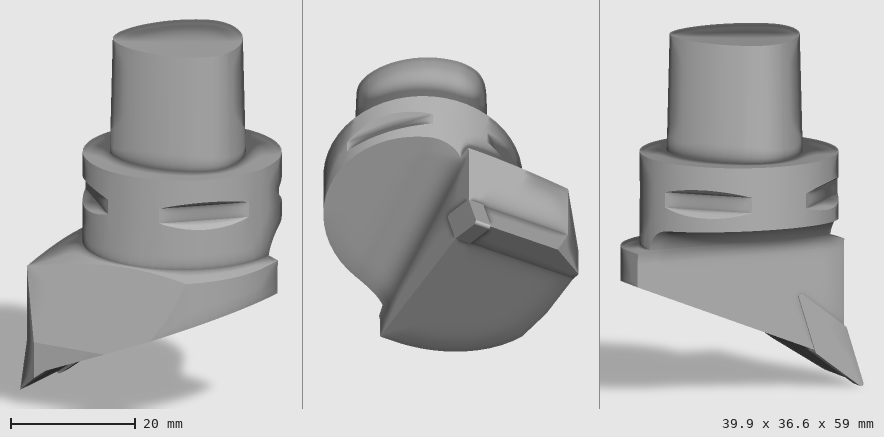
import cadquery as cq
import math


FLANGE_DIAMETER = 32.0
FLANGE_LENGTH = 15.0
FLANGE_RADIUS = FLANGE_DIAMETER / 2
TAPER_LENGTH = 19.0
TAPER_RATIO = 20
TAPER_MEAN_RADIUS = 10.9
LOBE_HEIGHT = 0.7
LOBE_COUNT = 3
LOBE_HALF_ANGLE = 24
STEPS_PER_STRETCH = 6

GROOVE_COUNT = 4
GROOVE_DEPTH = 1.8
GROOVE_FLOOR_HEIGHT = 2.5
GROOVE_CENTRE_Z = -6.1
GROOVE_SIDE_ANGLE = 30

FACE_Y = -0.1
UNDERCUT_BACK_Z = -10.2
UNDERCUT_SLOPE = 5
UNDERCUT_RADIUS = 5.9

SHOULDER_SLOPE = 15
HEAD_LEFT = -18.65
HEAD_RIGHT = 17.9
HEAD_FRONT = -20.6
CHAMFER_X = -15.45
SLOPE_TOP_Z = -17.5
SLOPE_TOP_Y = -17.35
SLOPE_BOTTOM_Z = -29.0
NECK_Z = -29.95
TIP_X = -21.75
TIP_Z = -39.65
HEEL_X = -13.3
HEEL_Z = -33.45
RIGHT_WALL_END_Z = -20.95
OVERRUN = 59

INSERT_SIDE = 11.1
INSERT_ANGLE = 35
INSERT_EDGE_ANGLE = 37.2
INSERT_TOP_Y = 0.1
INSERT_THICKNESS = 2.55
NOSE_RADIUS = 0.4
NOSE_CENTRE_X = -21.6
NOSE_CENTRE_Z = -39.6


def lobed_point(normal_angle, mean_radius):
    """Point and tangent on a constant-width curve, by its normal direction."""
    phase = LOBE_COUNT * (normal_angle - math.pi / 2)
    support = mean_radius + LOBE_HEIGHT * math.cos(phase)
    slope = -LOBE_COUNT * LOBE_HEIGHT * math.sin(phase)
    c = math.cos(normal_angle)
    s = math.sin(normal_angle)
    point = (support * c - slope * s, support * s + slope * c)
    return point, (-s, c)


def lobed_wire(mean_radius, z):
    """Closed outline of alternating lobe and flank stretches."""
    edges = []
    pitch = 360 / LOBE_COUNT
    for lobe in range(LOBE_COUNT):
        centre = 90 + lobe * pitch
        joints = [centre - LOBE_HALF_ANGLE, centre + LOBE_HALF_ANGLE, centre + pitch - LOBE_HALF_ANGLE]
        for start, end in zip(joints, joints[1:]):
            points = []
            tangents = []
            for step in range(STEPS_PER_STRETCH + 1):
                angle = math.radians(start + (end - start) * step / STEPS_PER_STRETCH)
                (x, y), (tx, ty) = lobed_point(angle, mean_radius)
                points.append(cq.Vector(x, y, z))
                tangents.append(cq.Vector(tx, ty, 0))
            edges.append(cq.Edge.makeSpline(points, [tangents[0], tangents[-1]]))
    return cq.Wire.assembleEdges(edges)


def make_taper():
    top_radius = TAPER_MEAN_RADIUS - TAPER_LENGTH / TAPER_RATIO / 2
    base = lobed_wire(TAPER_MEAN_RADIUS, 0)
    top = lobed_wire(top_radius, TAPER_LENGTH)
    return cq.Workplane(obj=cq.Solid.makeLoft([base, top], True))


def make_groove(direction):
    """Straight groove with sloping sides, its floor facing the given direction."""
    floor_x = FLANGE_RADIUS - GROOVE_DEPTH
    reach = 2 * GROOVE_DEPTH
    floor_half = GROOVE_FLOOR_HEIGHT / 2
    mouth_half = floor_half + reach * math.tan(math.radians(GROOVE_SIDE_ANGLE))
    return (
        cq.Workplane("XZ", origin=(0, 0, GROOVE_CENTRE_Z))
        .moveTo(floor_x, -floor_half)
        .lineTo(floor_x, floor_half)
        .lineTo(floor_x + reach, mouth_half)
        .lineTo(floor_x + reach, -mouth_half)
        .close()
        .extrude(FLANGE_RADIUS, both=True)
        .rotate((0, 0, 0), (0, 0, 1), direction)
    )


def make_undercut():
    """Space behind the cutting face, with a sloping roof and rounded inner corner."""
    slope = math.tan(math.radians(UNDERCUT_SLOPE))
    corner_z = UNDERCUT_BACK_Z - (FLANGE_RADIUS - FACE_Y) * slope
    outer_z = corner_z + (OVERRUN - FACE_Y) * slope
    return (
        cq.Workplane("YZ")
        .moveTo(FACE_Y, corner_z)
        .lineTo(OVERRUN, outer_z)
        .lineTo(OVERRUN, -OVERRUN)
        .lineTo(FACE_Y, -OVERRUN)
        .close()
        .extrude(OVERRUN, both=True)
        .edges(cq.selectors.NearestToPointSelector((0, FACE_Y, corner_z)))
        .fillet(UNDERCUT_RADIUS)
    )


def make_coupling():
    flange = cq.Workplane("XY").circle(FLANGE_RADIUS).extrude(-FLANGE_LENGTH)
    for index in range(GROOVE_COUNT):
        flange = flange.cut(make_groove(45 + index * 360 / GROOVE_COUNT))
    return flange.cut(make_undercut()).union(make_taper())


def make_insert():
    bisector = math.radians(INSERT_EDGE_ANGLE + INSERT_ANGLE / 2)
    setback = NOSE_RADIUS / math.sin(math.radians(INSERT_ANGLE / 2))
    corner_x = NOSE_CENTRE_X - setback * math.cos(bisector)
    corner_z = NOSE_CENTRE_Z - setback * math.sin(bisector)
    lower = math.radians(INSERT_EDGE_ANGLE)
    upper = math.radians(INSERT_EDGE_ANGLE + INSERT_ANGLE)
    lower_side = (INSERT_SIDE * math.cos(lower), INSERT_SIDE * math.sin(lower))
    upper_side = (INSERT_SIDE * math.cos(upper), INSERT_SIDE * math.sin(upper))
    return (
        cq.Workplane("XZ", origin=(0, INSERT_TOP_Y, 0))
        .moveTo(corner_x, corner_z)
        .line(*lower_side)
        .line(*upper_side)
        .line(-lower_side[0], -lower_side[1])
        .close()
        .extrude(INSERT_THICKNESS)
        .edges("|Y")
        .fillet(NOSE_RADIUS)
    )


def make_head_plan():
    """Upright prism with a chamfered left corner and a rounded right corner."""
    corner_y = HEAD_FRONT + HEAD_RIGHT
    chamfer_run = HEAD_FRONT - CHAMFER_X + OVERRUN
    arc_mid_x = HEAD_RIGHT * math.sqrt(0.5)
    arc_mid_y = corner_y - HEAD_RIGHT * math.sqrt(0.5)
    return (
        cq.Workplane("XY")
        .moveTo(CHAMFER_X, HEAD_FRONT)
        .lineTo(0, HEAD_FRONT)
        .threePointArc((arc_mid_x, arc_mid_y), (HEAD_RIGHT, corner_y))
        .lineTo(HEAD_RIGHT, OVERRUN)
        .lineTo(CHAMFER_X - chamfer_run, OVERRUN)
        .lineTo(CHAMFER_X - chamfer_run, HEAD_FRONT + chamfer_run)
        .close()
        .extrude(-OVERRUN)
    )


def make_head_profile():
    """Prism along Y that gives the left wall, the tip and the sloping underside."""
    return (
        cq.Workplane("XZ")
        .moveTo(HEAD_LEFT, 0)
        .lineTo(HEAD_LEFT, NECK_Z)
        .lineTo(TIP_X, TIP_Z)
        .lineTo(HEEL_X, HEEL_Z)
        .lineTo(HEAD_RIGHT, RIGHT_WALL_END_Z)
        .lineTo(HEAD_RIGHT, 0)
        .close()
        .extrude(OVERRUN, both=True)
    )


def make_shoulder():
    """Solid of revolution whose top is flat under the flange and conical outside."""
    drop = (OVERRUN - FLANGE_RADIUS) * math.tan(math.radians(SHOULDER_SLOPE))
    return (
        cq.Workplane("XZ")
        .moveTo(0, -FLANGE_LENGTH)
        .lineTo(FLANGE_RADIUS, -FLANGE_LENGTH)
        .lineTo(OVERRUN, -FLANGE_LENGTH - drop)
        .lineTo(OVERRUN, -OVERRUN)
        .lineTo(0, -OVERRUN)
        .close()
        .revolve(360, (0, 0, 0), (0, 1, 0))
    )


def make_front_slope():
    """Wedge taken off the upper part of the head's front face."""
    lean = (SLOPE_TOP_Y - HEAD_FRONT) / (SLOPE_TOP_Z - SLOPE_BOTTOM_Z)
    top_y = HEAD_FRONT - SLOPE_BOTTOM_Z * lean
    return (
        cq.Workplane("YZ")
        .moveTo(HEAD_FRONT, SLOPE_BOTTOM_Z)
        .lineTo(top_y, 0)
        .lineTo(HEAD_FRONT, 0)
        .close()
        .extrude(OVERRUN, both=True)
    )


def make_head(seated_insert):
    head = make_head_plan().intersect(make_head_profile()).intersect(make_shoulder())
    head = head.cut(make_front_slope()).cut(make_undercut())
    return head.cut(seated_insert)


coupling = make_coupling()
insert = make_insert()
head = make_head(insert)

bodies = [coupling, head, insert]
result = cq.Compound.makeCompound([body.solids().val() for body in bodies])